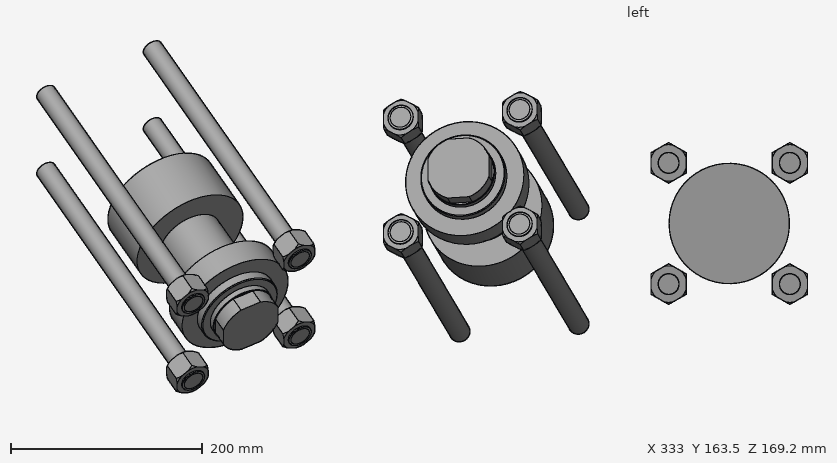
import cadquery as cq
import math


rod_diameter = 22.0
rod_chamfer = 0.3
rod_spacing = 126.5
nut_start = 298.7
nut_across_flats = 37.0
nut_hex_length = 24.0
nut_boss_diameter = 26.5
nut_boss_height = 1.5
nut_chamfer_diameter = 38.0
corner_clearance = 3.3

disc_diameter = 126.0
disc_start = 135.5
disc_end = 199.8
neck_diameter = 70.3
neck_end = 316.0
neck_chamfer = 0.5
head_across_flats = 65.0
head_end = 333.0

flange_start = 270.5
flange_step = nut_start
flange_end = 309.0
flange_small_diameter = 90.0
flange_chamfer = 1.0

nut_across_corners = nut_across_flats / math.cos(math.radians(30))
nut_envelope_diameter = nut_across_corners + corner_clearance
nut_chamfer = (nut_envelope_diameter - nut_chamfer_diameter) / 2
nut_end = nut_start + nut_hex_length + nut_boss_height
head_diameter = neck_diameter - 2 * neck_chamfer


def cylinder(start, end, diameter):
    """Cylinder on the X axis between two X positions."""
    return cq.Workplane("YZ", origin=(start, 0, 0)).circle(diameter / 2).extrude(end - start)


def make_shaft():
    """Disc, neck and head in one piece; the head has four flats facing +-Y and +-Z."""
    disc = cylinder(disc_start, disc_end, disc_diameter)
    neck = cylinder(disc_end, neck_end, neck_diameter).faces(">X").chamfer(neck_chamfer)
    square = (
        cq.Workplane("YZ", origin=(neck_end, 0, 0))
        .rect(head_across_flats, head_across_flats)
        .extrude(head_end - neck_end)
    )
    head = cylinder(neck_end, head_end, head_diameter).intersect(square)
    return disc.union(neck).union(head)


def make_flange():
    """Ring with a smaller step on its outer end and a bore that fits the neck."""
    large = cylinder(flange_start, flange_step, disc_diameter)
    small = cylinder(flange_step, flange_end, flange_small_diameter).faces(">X").chamfer(flange_chamfer)
    bore = cylinder(flange_start, flange_end, neck_diameter)
    return large.union(small).cut(bore)


def make_rod(y, z):
    """Round rod, chamfered at its free end, that ends flush with the outer face of its nut."""
    rod = cylinder(0, nut_end, rod_diameter).faces("<X").chamfer(rod_chamfer)
    return rod.translate((0, y, z))


def make_nut(y, z):
    """Hexagon nut with corners up and down, both ends chamfered, and a round boss outside."""
    hexagon = (
        cq.Workplane("YZ", origin=(nut_start, 0, 0))
        .polygon(6, nut_across_corners)
        .extrude(nut_hex_length)
        .rotate((0, 0, 0), (1, 0, 0), 90)
    )
    chamfer_envelope = (
        cylinder(nut_start, nut_start + nut_hex_length, nut_envelope_diameter)
        .faces("<X or >X")
        .chamfer(nut_chamfer)
    )
    boss = cylinder(nut_start + nut_hex_length, nut_end, nut_boss_diameter)
    bore = cylinder(nut_start, nut_end, rod_diameter)
    return hexagon.intersect(chamfer_envelope).union(boss).cut(bore).translate((0, y, z))


shaft = make_shaft()
flange = make_flange()

rods = []
nuts = []
for y_side in (-1, 1):
    for z_side in (-1, 1):
        y = y_side * rod_spacing / 2
        z = z_side * rod_spacing / 2
        rods.append(make_rod(y, z).val())
        nuts.append(make_nut(y, z).val())

result = cq.Compound.makeCompound([shaft.val(), flange.val(), *rods, *nuts])